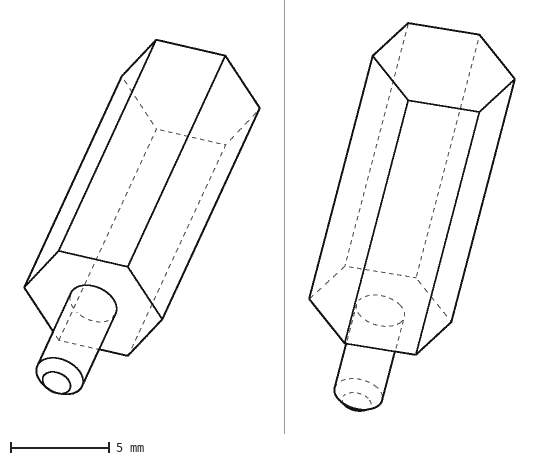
import cadquery as cq
import math

total_length = 22.0
stud_length = 6.0
body_length = total_length - stud_length
across_flats = 6.4
across_corners = across_flats / math.cos(math.radians(30))
stud_diameter = 2.5
tip_chamfer = 0.5

body = cq.Workplane("XZ").polygon(6, across_corners).extrude(-body_length)

stud = (
    cq.Workplane("XZ")
    .circle(stud_diameter / 2)
    .extrude(stud_length)
    .faces("<Y")
    .chamfer(tip_chamfer)
)

result = body.union(stud)